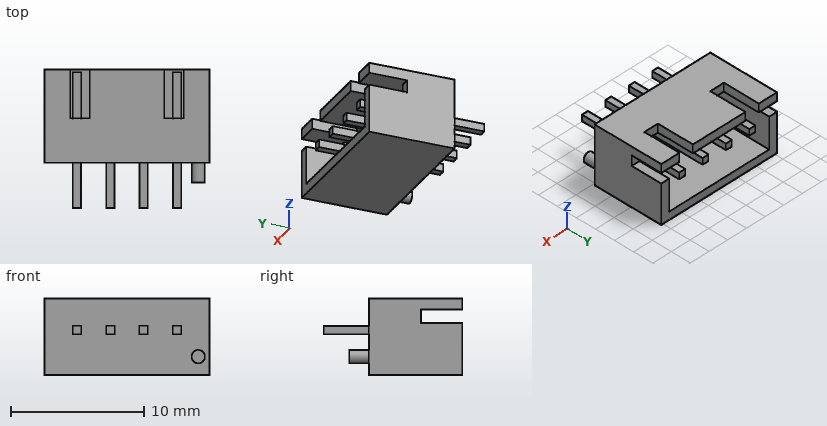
import cadquery as cq

width = 12.4
depth = 7.0
height = 5.75
wall = 0.84
roof = 0.84
base = 0.8
cavity_depth = 5.5

slot_edge_offset = 1.95
slot_width = 1.45
slot_depth = 3.67

notch_height = 0.99
notch_depth = 3.1

pin_count = 4
pin_pitch = 2.5
pin_size = 0.63
pin_tail = 3.4
pin_tip_gap = 0.2
pin_drop = 2.38

peg_diameter = 1.0
peg_length = 1.49
peg_side_offset = 0.85
peg_rise = 1.39


def block(x_range, y_range, z_range):
    """Box spanning the given (low, high) ranges."""
    lows, highs = zip(x_range, y_range, z_range)
    sizes = [high - low for low, high in zip(lows, highs)]
    return cq.Workplane("XY").box(*sizes, centered=False).translate(lows)


def make_housing():
    half = width / 2
    roof_underside = height - roof
    body = block((-half, half), (0, depth), (0, height))
    cavity = block((-half + wall, half - wall), (depth - cavity_depth, depth), (base, roof_underside))
    notch = block((-half, half), (depth - notch_depth, depth), (roof_underside - notch_height, roof_underside))
    body = body.cut(cavity).cut(notch)
    slot_offset = half - slot_edge_offset - slot_width / 2
    for x in (-slot_offset, slot_offset):
        slot_x = (x - slot_width / 2, x + slot_width / 2)
        body = body.cut(block(slot_x, (depth - slot_depth, depth), (roof_underside, height)))
    return body


def make_pin(x):
    z = height - pin_drop
    half = pin_size / 2
    return block((x - half, x + half), (-pin_tail, depth - pin_tip_gap), (z - half, z + half))


def make_peg():
    peg_x = width / 2 - peg_side_offset
    return cq.Workplane("XZ").center(peg_x, peg_rise).circle(peg_diameter / 2).extrude(peg_length)


result = make_housing().union(make_peg())
for index in range(pin_count):
    result = result.union(make_pin((index - (pin_count - 1) / 2) * pin_pitch))